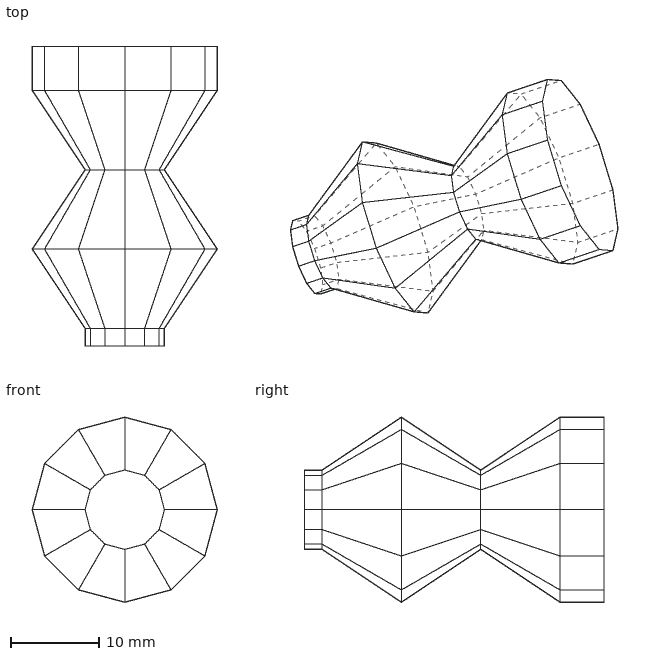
import cadquery as cq

SIDES = 12
TOTAL_LENGTH = 34.0
WIDE_DIAMETER = 21.0
NARROW_DIAMETER = 9.0
TIP_LENGTH = 2.0
BASE_LENGTH = 5.0
TAPER_COUNT = 3

taper_length = (TOTAL_LENGTH - TIP_LENGTH - BASE_LENGTH) / TAPER_COUNT
tip_end = -TOTAL_LENGTH / 2
tip_shoulder = tip_end + TIP_LENGTH
belly = tip_shoulder + taper_length
waist = belly + taper_length
base_shoulder = waist + taper_length
base_end = TOTAL_LENGTH / 2


def section(y_start, diameter_start, y_end, diameter_end):
    """Solid between two twelve-sided sections, each with a corner on the X axis."""
    return (
        cq.Workplane("XZ", origin=(0, y_start, 0))
        .polygon(SIDES, diameter_start)
        .workplane(offset=y_start - y_end)
        .polygon(SIDES, diameter_end)
        .loft(ruled=True)
    )


stations = [
    (tip_end, NARROW_DIAMETER),
    (tip_shoulder, NARROW_DIAMETER),
    (belly, WIDE_DIAMETER),
    (waist, NARROW_DIAMETER),
    (base_shoulder, WIDE_DIAMETER),
    (base_end, WIDE_DIAMETER),
]

result = section(*stations[0], *stations[1])
for start, end in zip(stations[1:], stations[2:]):
    result = result.union(section(*start, *end))